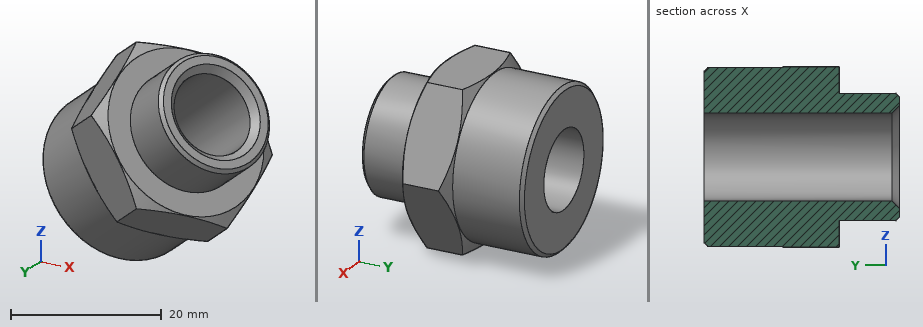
import cadquery as cq
import math

across_corners = 27.7
total_length = 26.0
narrow_length = 8.0
hex_length = 7.5
narrow_diameter = 17.01
wide_diameter = 23.83
end_chamfer = 0.5
bore_diameter = 11.6
bore_mouth_diameter = 13.6
hex_face_diameter = 23.83
hex_chamfer_angle = 30.0

narrow_end = -total_length / 2
hex_front = narrow_end + narrow_length
hex_back = hex_front + hex_length
wide_end = total_length / 2


def revolve_profile(points):
    """Revolve a closed (radius, y) outline about the Y axis."""
    return cq.Workplane("XY").polyline(points).close().revolve(360, (0, 0), (0, 1))


def make_hex():
    """Hexagonal wrench section with conical chamfers on both faces."""
    prism = (
        cq.Workplane("XZ")
        .workplane(offset=-hex_front)
        .polygon(6, across_corners)
        .extrude(-hex_length)
    )
    face_radius = hex_face_diameter / 2
    corner_radius = across_corners / 2
    drop = (corner_radius - face_radius) * math.tan(math.radians(hex_chamfer_angle))
    envelope = revolve_profile([
        (0, hex_front),
        (face_radius, hex_front),
        (corner_radius, hex_front + drop),
        (corner_radius, hex_back - drop),
        (face_radius, hex_back),
        (0, hex_back),
    ])
    return prism.intersect(envelope)


def make_barrels():
    """Narrow and wide cylindrical ends, chamfered at their outer rims."""
    narrow_radius = narrow_diameter / 2
    wide_radius = wide_diameter / 2
    return revolve_profile([
        (0, narrow_end),
        (narrow_radius - end_chamfer, narrow_end),
        (narrow_radius, narrow_end + end_chamfer),
        (narrow_radius, hex_front),
        (wide_radius, hex_front),
        (wide_radius, wide_end - end_chamfer),
        (wide_radius - end_chamfer, wide_end),
        (0, wide_end),
    ])


def make_bore():
    """Through bore with a 45 degree countersink at the narrow end."""
    bore_radius = bore_diameter / 2
    mouth_radius = bore_mouth_diameter / 2
    return revolve_profile([
        (0, narrow_end),
        (mouth_radius, narrow_end),
        (bore_radius, narrow_end + mouth_radius - bore_radius),
        (bore_radius, wide_end),
        (0, wide_end),
    ])


result = make_barrels().union(make_hex()).cut(make_bore())